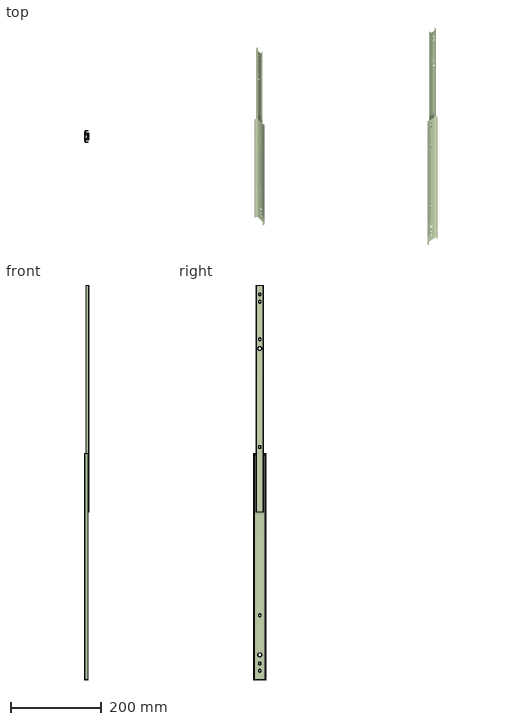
import cadquery as cq
import math

total_height = 870.9
rail_length = 500.0
depth = 9.5
outer_width = 27.0
inner_width = 16.0
sheet = 1.0
cut_margin = 1.0

bend_angle = math.radians(33)
lip_angle = math.radians(127)
raceway_radius = 4.8
raceway_x = 4.9
raceway_y = outer_width / 2 - raceway_radius
joint_x = raceway_x - raceway_radius * math.cos(bend_angle)
joint_y = raceway_y + raceway_radius * math.sin(bend_angle)
web_bend_radius = joint_x / (1 - math.cos(bend_angle))
web_half_width = joint_y - web_bend_radius * math.sin(bend_angle)

relief_depth = 4.2
tab_width = 9
tab_reach = 6.5
tab_bend_radius = 1.9

inner_tip_x = 2.8
inner_bend_radius = 2.2
inner_base = total_height - rail_length

screw_hole_width = 4.5
slot_length = 6.2
access_diameter = 8.3
outer_slot_heights = [20, 36, 142.5, 380, 465.5]
outer_round_height = 480
outer_access_height = 55
inner_slot_heights = [143, 381, 464, 480]
inner_access_height = 360.5


def mirrored(point):
    """The same profile point on the -Y side."""
    return (point[0], -point[1])


def outer_channel():
    """Rolled channel of the outer rail, open toward +X."""

    def bend_point(inset, angle):
        radius = web_bend_radius - inset
        return (web_bend_radius - radius * math.cos(angle), web_half_width + radius * math.sin(angle))

    def raceway_point(inset, angle):
        radius = raceway_radius - inset
        return (raceway_x - radius * math.cos(angle), raceway_y + radius * math.sin(angle))

    def side(inset):
        """Profile points of the +Y side from web to lip, at a distance inset into the sheet."""
        return [
            (inset, web_half_width),
            bend_point(inset, bend_angle / 2),
            bend_point(inset, bend_angle),
            raceway_point(inset, math.pi / 2),
            raceway_point(inset, lip_angle),
        ]

    def trace_out(profile, points):
        web, bend_middle, joint, crest, lip = points
        return (
            profile.lineTo(*web)
            .threePointArc(bend_middle, joint)
            .threePointArc(crest, lip)
        )

    def trace_back(profile, points):
        web, bend_middle, joint, crest, lip = points
        return (
            profile.lineTo(*lip)
            .threePointArc(crest, joint)
            .threePointArc(bend_middle, web)
        )

    outside = side(0)
    inside = side(sheet)
    profile = cq.Workplane("XY").moveTo(*mirrored(outside[0]))
    profile = trace_out(profile, outside)
    profile = trace_back(profile, inside)
    profile = trace_out(profile, [mirrored(p) for p in inside])
    profile = trace_back(profile, [mirrored(p) for p in outside])
    return profile.close().extrude(rail_length)


def web_relief():
    """Cut that shortens the outer web at its upper end; the side walls keep their full length."""
    return (
        cq.Workplane("XY")
        .box(sheet + cut_margin, 2 * web_half_width, relief_depth + cut_margin, centered=(False, True, False))
        .translate((-cut_margin, 0, rail_length - relief_depth))
    )


def stop_tab():
    """Tab that rises from the shortened web and bends over toward +X."""
    bend_start = rail_length - relief_depth
    bend_top = bend_start + tab_bend_radius
    inner_radius = tab_bend_radius - sheet
    return (
        cq.Workplane("XZ", origin=(0, tab_width / 2, 0))
        .moveTo(0, bend_start)
        .radiusArc((tab_bend_radius, bend_top), tab_bend_radius)
        .lineTo(tab_reach, bend_top)
        .lineTo(tab_reach, bend_top - sheet)
        .lineTo(tab_bend_radius, bend_top - sheet)
        .radiusArc((tab_bend_radius - inner_radius, bend_start), -inner_radius)
        .close()
        .extrude(tab_width)
    )


def inner_channel():
    """Plain channel of the inner rail, open toward -X."""
    half = inner_width / 2
    bend_x = depth - inner_bend_radius
    bend_y = half - inner_bend_radius
    inside_radius = inner_bend_radius - sheet
    return (
        cq.Workplane("XY", origin=(0, 0, inner_base))
        .moveTo(inner_tip_x, half)
        .lineTo(bend_x, half)
        .radiusArc((depth, bend_y), inner_bend_radius)
        .lineTo(depth, -bend_y)
        .radiusArc((bend_x, -half), inner_bend_radius)
        .lineTo(inner_tip_x, -half)
        .lineTo(inner_tip_x, -half + sheet)
        .lineTo(bend_x, -half + sheet)
        .radiusArc((depth - sheet, -bend_y), -inside_radius)
        .lineTo(depth - sheet, bend_y)
        .radiusArc((bend_x, half - sheet), -inside_radius)
        .lineTo(inner_tip_x, half - sheet)
        .close()
        .extrude(rail_length)
    )


def web_plane(web_x, base):
    """Workplane just in front of a web, with its origin at the lower end of the rail."""
    return cq.Workplane("YZ", origin=(web_x - cut_margin, 0, base))


def slot_cutters(web_x, base, heights):
    """Upright screw slots on the centre line of a web."""
    centers = [(0, height) for height in heights]
    plane = web_plane(web_x, base).pushPoints(centers)
    return plane.slot2D(slot_length, screw_hole_width, 90).extrude(sheet + 2 * cut_margin)


def round_cutter(web_x, base, height, diameter):
    """Round hole on the centre line of a web."""
    return web_plane(web_x, base).center(0, height).circle(diameter / 2).extrude(sheet + 2 * cut_margin)


outer_rail = (
    outer_channel()
    .cut(web_relief())
    .union(stop_tab())
    .cut(slot_cutters(0, 0, outer_slot_heights))
    .cut(round_cutter(0, 0, outer_round_height, screw_hole_width))
    .cut(round_cutter(0, 0, outer_access_height, access_diameter))
)

inner_web_x = depth - sheet
inner_rail = (
    inner_channel()
    .cut(slot_cutters(inner_web_x, inner_base, inner_slot_heights))
    .cut(round_cutter(inner_web_x, inner_base, inner_access_height, access_diameter))
)

result = cq.Compound.makeCompound([outer_rail.val(), inner_rail.val()])